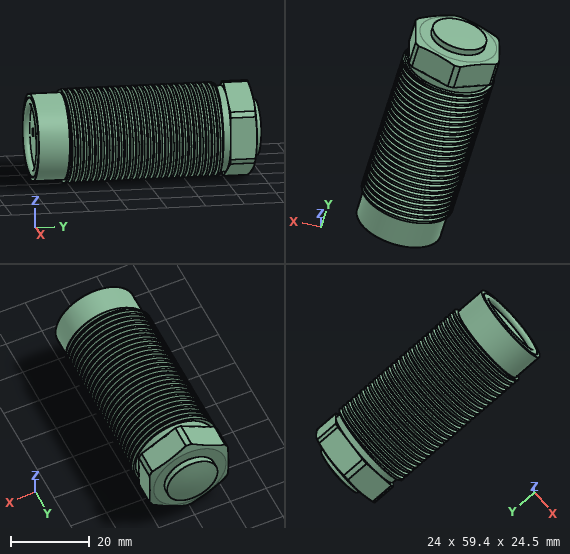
import cadquery as cq
import math


thread_start = 7.9
thread_end = 47.55
hex_start = 49.5
hex_end = 56.5
button_rim_end = 58.1
button_tip = 59.0

nose_diameter = 22.25
neck_diameter = 22.0

thread_diameter = 24.0
thread_pitch = 1.5
groove_depth = 0.8
groove_angle = 60.0
groove_phase = 0.8
groove_overcut = 0.1
top_angle = -90.0

across_flats = neck_diameter
corner_diameter = 24.5
hex_chamfer_angle = 15.0
hex_face_diameter = 20.2

button_diameter = 14.15

ring_section = 1.85
ring_center_radius = 9.25
ring_protrusion = 0.35
recess_diameter = 2 * ring_center_radius + ring_section
recess_depth = ring_section - ring_protrusion

hole_diameter = 2.0
hole_depth = 5.95
hole_end = recess_depth + hole_depth
left_hole_x = -5.0
right_hole_x = 5.95
hole_positions = [left_hole_x, 0.0, right_hole_x]
offset_hole_shift = 1.4
offset_hole_x = left_hole_x + offset_hole_shift
offset_hole_extra_depth = 1.2


def cylinder(diameter, start, end):
    return cq.Workplane("XY").workplane(offset=start).circle(diameter / 2).extrude(end - start)


def lay_along_y(body):
    return body.rotate((0, 0, 0), (1, 0, 0), -90)


def make_thread():
    """Cylinder with a right-hand V groove that runs out through both ends."""
    crest_radius = thread_diameter / 2
    root_radius = crest_radius - groove_depth
    cutter_radius = crest_radius + groove_overcut
    half_width = (cutter_radius - root_radius) * math.tan(math.radians(groove_angle / 2))

    turns_below = math.floor((thread_start - groove_phase) / thread_pitch) - 1
    helix_start = groove_phase + turns_below * thread_pitch
    helix_height = thread_end + 2 * thread_pitch - helix_start

    helix = cq.Wire.makeHelix(thread_pitch, helix_height, crest_radius, center=cq.Vector(0, 0, helix_start))
    cutter = (
        cq.Workplane("XZ")
        .moveTo(root_radius, helix_start)
        .lineTo(cutter_radius, helix_start + half_width)
        .lineTo(cutter_radius, helix_start - half_width)
        .close()
        .sweep(cq.Workplane(helix), isFrenet=True)
        .rotate((0, 0, 0), (0, 0, 1), top_angle)
    )
    threaded_length = cylinder(2 * thread_diameter, thread_start, thread_end)
    groove = cutter.intersect(threaded_length)
    return cylinder(thread_diameter, thread_start, thread_end).cut(groove)


def make_hex_head():
    """Hexagon with corners on the local Y axis, trimmed by a cylinder with a chamfered outer end."""
    corner_radius = corner_diameter / 2
    face_radius = hex_face_diameter / 2
    chamfer_height = (corner_radius - face_radius) * math.tan(math.radians(hex_chamfer_angle))

    hexagon = (
        cq.Workplane("XY")
        .workplane(offset=hex_start)
        .transformed(rotate=(0, 0, 90))
        .polygon(6, across_flats / math.cos(math.pi / 6))
        .extrude(hex_end - hex_start)
    )
    turned_blank = (
        cq.Workplane("XZ")
        .moveTo(0, hex_start)
        .lineTo(corner_radius, hex_start)
        .lineTo(corner_radius, hex_end - chamfer_height)
        .lineTo(face_radius, hex_end)
        .lineTo(0, hex_end)
        .close()
        .revolve(360, (0, 0, 0), (0, 1, 0))
    )
    return hexagon.intersect(turned_blank)


def make_housing():
    body = cylinder(nose_diameter, 0, thread_start)
    body = body.union(make_thread())
    body = body.union(cylinder(neck_diameter, thread_end, hex_start))
    body = body.union(make_hex_head())
    body = body.cut(cylinder(recess_diameter, 0, recess_depth))
    for x in hole_positions:
        body = body.cut(cylinder(hole_diameter, recess_depth, hole_end).translate((x, 0, 0)))
    offset_hole = cylinder(hole_diameter, hole_end, hole_end + offset_hole_extra_depth)
    return body.cut(offset_hole.translate((offset_hole_x, 0, 0)))


def make_button():
    """Low cylinder with a domed end, seated on the hexagon head."""
    radius = button_diameter / 2
    dome_height = button_tip - button_rim_end
    dome_radius = (radius**2 + dome_height**2) / (2 * dome_height)
    dome_center = button_tip - dome_radius
    half_angle = math.asin(radius / dome_radius) / 2
    dome_middle = (dome_radius * math.sin(half_angle), dome_center + dome_radius * math.cos(half_angle))
    return (
        cq.Workplane("XZ")
        .moveTo(0, hex_end)
        .lineTo(radius, hex_end)
        .lineTo(radius, button_rim_end)
        .threePointArc(dome_middle, (0, button_tip))
        .close()
        .revolve(360, (0, 0, 0), (0, 1, 0))
    )


def make_seal_ring():
    section_radius = ring_section / 2
    return (
        cq.Workplane("XZ")
        .center(ring_center_radius, section_radius - ring_protrusion)
        .circle(section_radius)
        .revolve(360, (-ring_center_radius, 0, 0), (-ring_center_radius, 1, 0))
    )


housing = lay_along_y(make_housing())
button = lay_along_y(make_button())
seal_ring = lay_along_y(make_seal_ring())

result = cq.Compound.makeCompound([housing.val(), button.val(), seal_ring.val()])